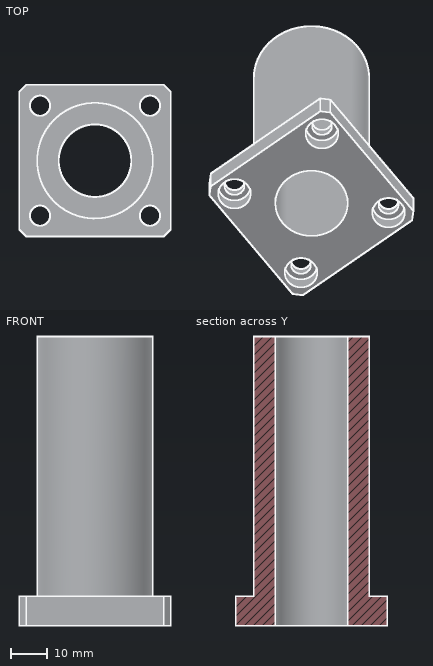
import cadquery as cq

flange_side = 42.0
flange_thickness = 8.2
corner_chamfer = 2.0

total_height = 80.0
sleeve_diameter = 32.0
bore_diameter = 20.0

hole_diameter = 5.5
hole_spacing = 30.4
counterbore_diameter = 9.0
counterbore_depth = 5.1


def make_flange():
    """Square plate with its four upright corners chamfered."""
    plate = cq.Workplane("XY").rect(flange_side, flange_side).extrude(flange_thickness)
    return plate.edges("|Z").chamfer(corner_chamfer)


def make_sleeve():
    """Solid cylinder standing on the same base plane as the flange."""
    return cq.Workplane("XY").circle(sleeve_diameter / 2).extrude(total_height)


def make_bore():
    """Cutter for the bore through the full height."""
    return cq.Workplane("XY").circle(bore_diameter / 2).extrude(total_height)


def make_corner_cylinders(diameter, height):
    """Four cylinders rising from the base plane at the mounting hole centres."""
    corners = cq.Workplane("XY").rect(hole_spacing, hole_spacing, forConstruction=True).vertices()
    return corners.circle(diameter / 2).extrude(height)


def make_mounting_holes():
    """Cutters for the four flange holes, counterbored from the underside."""
    through_holes = make_corner_cylinders(hole_diameter, flange_thickness)
    counterbores = make_corner_cylinders(counterbore_diameter, counterbore_depth)
    return through_holes.union(counterbores)


body = make_flange().union(make_sleeve())
result = body.cut(make_bore()).cut(make_mounting_holes())